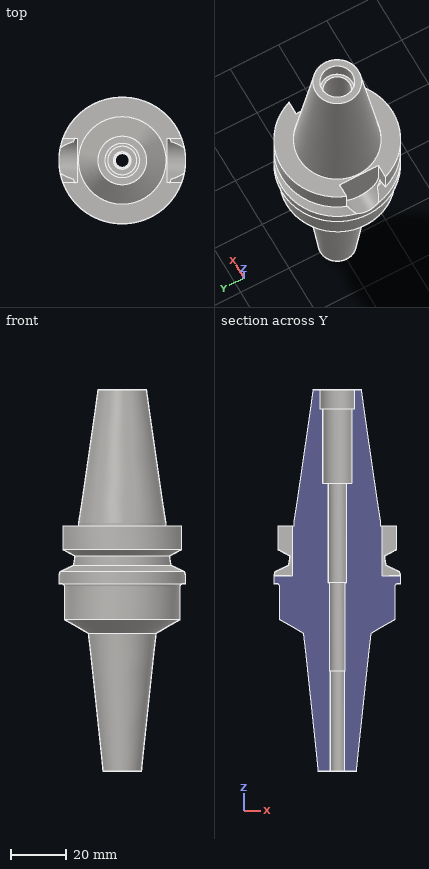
import cadquery as cq
import math


GAUGE_DIAMETER = 31.75
TAPER_RATIO = 7 / 24
TAPER_LENGTH = 48.4

FLANGE_DIAMETER = 46.0
FLANGE_TOP_Z = -1.0
FLANGE_BOTTOM_Z = -22.0

GROOVE_CENTER_Z = -13.6
GROOVE_WIDTH = 8.0
GROOVE_FLOOR_DIAMETER = 38.0
GROOVE_FLANK_ANGLE = 30.0

SLOT_WIDTH = 16.1
SLOT_FLOOR_X = 16.3
SLOT_BOTTOM_Z = -19.0

BODY_DIAMETER = 42.0
BODY_FILLET = 1.0
BODY_BOTTOM_Z = -35.0
SHOULDER_BOTTOM_Z = -40.0
SHOULDER_ANGLE = 60.0

NOSE_DIAMETER = 14.0
NOSE_BOTTOM_Z = -90.0

PILOT_DIAMETER = 12.5
PILOT_DEPTH = 7.0
THREAD_DIAMETER = 10.4
THREAD_DEPTH = 34.0
CHANNEL_DIAMETER = 6.4
CHANNEL_DEPTH = 70.0
SCREW_DIAMETER = 5.5
SCREW_DEPTH = 102.0
TOOL_BORE_DIAMETER = 5.0


def make_body():
    """Revolved outside shape: taper, grooved flange, body, shoulder and nose."""
    gauge_radius = GAUGE_DIAMETER / 2
    taper_end_radius = gauge_radius - TAPER_RATIO * TAPER_LENGTH / 2
    flange_radius = FLANGE_DIAMETER / 2
    floor_radius = GROOVE_FLOOR_DIAMETER / 2
    body_radius = BODY_DIAMETER / 2

    half_width = GROOVE_WIDTH / 2
    flank_height = (flange_radius - floor_radius) * math.tan(math.radians(GROOVE_FLANK_ANGLE))
    half_floor = half_width - flank_height

    shoulder_height = BODY_BOTTOM_Z - SHOULDER_BOTTOM_Z
    nose_top_radius = body_radius - shoulder_height * math.tan(math.radians(SHOULDER_ANGLE))
    fillet_bulge = BODY_FILLET * (1 - math.sqrt(0.5))

    profile = (
        cq.Workplane("YZ")
        .moveTo(0, TAPER_LENGTH)
        .lineTo(taper_end_radius, TAPER_LENGTH)
        .lineTo(gauge_radius, 0)
        .lineTo(gauge_radius, FLANGE_TOP_Z)
        .lineTo(flange_radius, FLANGE_TOP_Z)
        .lineTo(flange_radius, GROOVE_CENTER_Z + half_width)
        .lineTo(floor_radius, GROOVE_CENTER_Z + half_floor)
        .lineTo(floor_radius, GROOVE_CENTER_Z - half_floor)
        .lineTo(flange_radius, GROOVE_CENTER_Z - half_width)
        .lineTo(flange_radius, FLANGE_BOTTOM_Z)
        .lineTo(body_radius + BODY_FILLET, FLANGE_BOTTOM_Z)
        .threePointArc(
            (body_radius + fillet_bulge, FLANGE_BOTTOM_Z - fillet_bulge),
            (body_radius, FLANGE_BOTTOM_Z - BODY_FILLET),
        )
        .lineTo(body_radius, BODY_BOTTOM_Z)
        .lineTo(nose_top_radius, SHOULDER_BOTTOM_Z)
        .lineTo(NOSE_DIAMETER / 2, NOSE_BOTTOM_Z)
        .lineTo(0, NOSE_BOTTOM_Z)
        .close()
    )
    return profile.revolve(360, (0, 0, 0), (0, 1, 0))


def make_key_slot(side):
    """Cutter for one drive-key slot; side is +1 or -1 along X."""
    half_width = SLOT_WIDTH / 2
    arc_center_z = SLOT_BOTTOM_Z + half_width
    slot_depth = FLANGE_DIAMETER / 2 - SLOT_FLOOR_X
    cutter = (
        cq.Workplane("YZ")
        .workplane(offset=side * SLOT_FLOOR_X)
        .moveTo(-half_width, FLANGE_TOP_Z)
        .lineTo(-half_width, arc_center_z)
        .threePointArc((0, SLOT_BOTTOM_Z), (half_width, arc_center_z))
        .lineTo(half_width, FLANGE_TOP_Z)
        .close()
    )
    return cutter.extrude(side * slot_depth)


def make_bore():
    """Cutter for the stepped bore: coaxial cylinders starting at the taper end."""
    through_depth = TAPER_LENGTH - NOSE_BOTTOM_Z
    narrower_steps = [
        (THREAD_DIAMETER, THREAD_DEPTH),
        (CHANNEL_DIAMETER, CHANNEL_DEPTH),
        (SCREW_DIAMETER, SCREW_DEPTH),
        (TOOL_BORE_DIAMETER, through_depth),
    ]
    taper_end = cq.Workplane("XY").workplane(offset=TAPER_LENGTH)
    bore = taper_end.circle(PILOT_DIAMETER / 2).extrude(-PILOT_DEPTH)
    for diameter, depth in narrower_steps:
        bore = bore.union(taper_end.circle(diameter / 2).extrude(-depth))
    return bore


result = make_body()
for slot_side in (-1, 1):
    result = result.cut(make_key_slot(slot_side))
result = result.cut(make_bore())